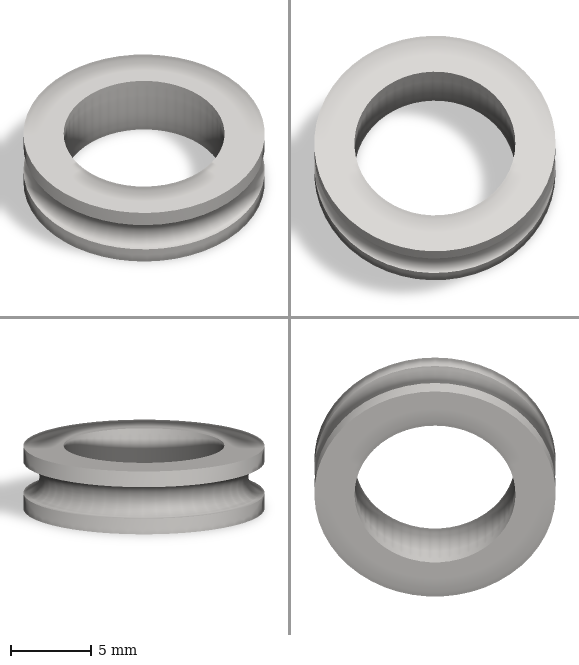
import cadquery as cq

outer_diameter = 15.0
bore_diameter = outer_diameter * 2 / 3
groove_radius = outer_diameter / 15
rim_thickness = groove_radius
height = 2 * (rim_thickness + groove_radius)

ring = (
    cq.Workplane("XY")
    .circle(outer_diameter / 2)
    .circle(bore_diameter / 2)
    .extrude(height / 2, both=True)
)

groove = (
    cq.Workplane("XZ")
    .center(outer_diameter / 2, 0)
    .circle(groove_radius)
    .revolve(360, (-outer_diameter / 2, 0), (-outer_diameter / 2, 1))
)

result = ring.cut(groove)